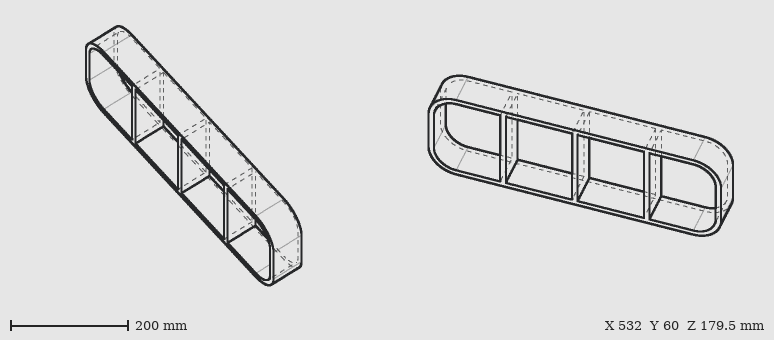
import cadquery as cq

length = 532.0
depth = 60.0
height = 179.5
wall = 10.0
corner_radius = 50.5
bay_count = 4

inner_length = length - 2 * wall
inner_height = height - 2 * wall
inner_radius = corner_radius - wall
divider_pitch = (length - wall) / bay_count


def rounded_bar(size_x, size_z, radius):
    """Full-depth block centred on the origin with corners rounded about Y."""
    return cq.Workplane("XY").box(size_x, depth, size_z).edges("|Y").fillet(radius)


result = rounded_bar(length, height, corner_radius).cut(
    rounded_bar(inner_length, inner_height, inner_radius)
)

for index in range(1, bay_count):
    divider_x = -(length - wall) / 2 + index * divider_pitch
    divider = cq.Workplane("XY").box(wall, depth, height).translate((divider_x, 0, 0))
    result = result.union(divider)

result = result.clean()